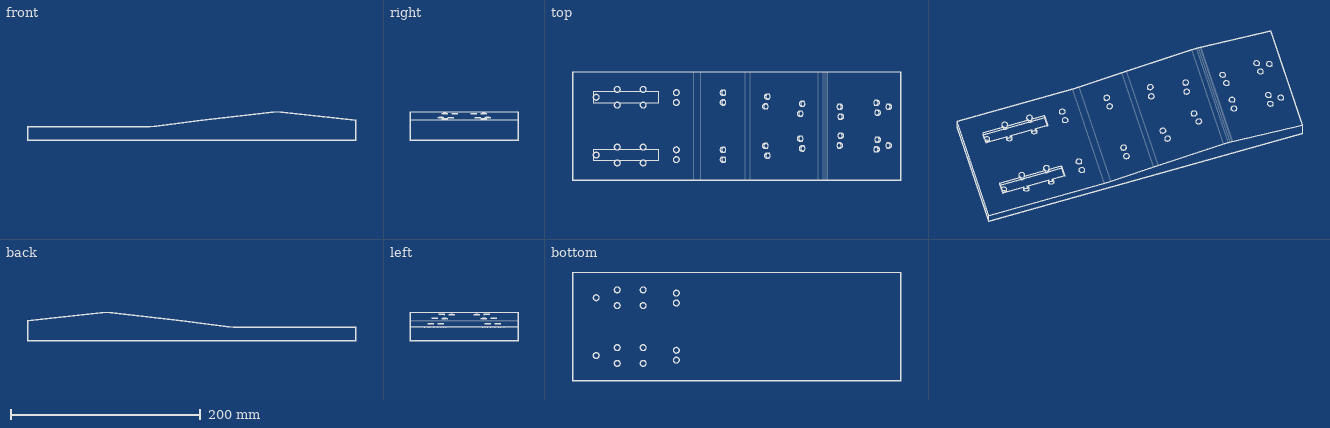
import cadquery as cq
import math

LENGTH = 346.5
WIDTH = 114.5
PEAK_HEIGHT = 30.0

FLAT_END = 127.5
RAMP_1_START, RAMP_1_END, RAMP_1_ANGLE = 134.8, 182.0, 7.4
RAMP_2_START, RAMP_2_END, RAMP_2_ANGLE = 187.0, 259.2, 6.5
PEAK_X = 264.5
CREST_MIDDLE = 266.5
CREST_END = 268.5
DESCENT_START = 269.3
DESCENT_ANGLE = -6.2

TOP_FACES = [
    (FLAT_END, 0),
    (RAMP_1_START, RAMP_1_ANGLE / 2),
    (RAMP_1_END, RAMP_1_ANGLE),
    (RAMP_2_START, (RAMP_1_ANGLE + RAMP_2_ANGLE) / 2),
    (RAMP_2_END, RAMP_2_ANGLE),
    (PEAK_X, RAMP_2_ANGLE / 4),
    (CREST_MIDDLE, DESCENT_ANGLE / 2),
    (CREST_END, DESCENT_ANGLE * 3 / 4),
    (DESCENT_START, DESCENT_ANGLE * 7 / 8),
    (LENGTH, DESCENT_ANGLE),
]

HOLE_DIAMETER = 6.0
BLIND_DEPTH = 14.0
TIP_ANGLE = 118
PAIR_ROW_Y = 30.0
PAIR_OFFSET = 5.2
FLAT_PAIR_X = 109.5
RAMP_1_PAIR_X = 158.7
RAMP_2_HOLES = [(205.5, 31.2), (203.5, 20.8), (242.3, 23.5), (240.2, 13.0)]
DESCENT_HOLES = [(282.0, 20.5), (283.0, 10.0), (321.0, 24.5), (322.0, 14.2)]
END_HOLE = (333.8, 20.5)

SLOT_ROW_Y = 30.5
SLOT_START = 22.2
SLOT_LENGTH = 68.3
SLOT_WIDTH = 11.8
SLOT_DEPTH = 5.5
SLOT_END_HOLE_X = 25.0
SLOT_EDGE_HOLE_XS = [47.0, 74.5]
SLOT_EDGE_HOLE_OFFSET = 8.3

CLEARANCE = 3.5


def top_profile():
    """Corner points of the top surface, set so that its crest is at PEAK_HEIGHT."""
    points = [(0, 0)]
    for face_end, angle in TOP_FACES:
        x, z = points[-1]
        points.append((face_end, z + (face_end - x) * math.tan(math.radians(angle))))
    lift = PEAK_HEIGHT - max(z for x, z in points)
    return [(x, z + lift) for x, z in points]


TOP_POINTS = top_profile()
FLAT_HEIGHT = TOP_POINTS[0][1]
THROUGH_DEPTH = FLAT_HEIGHT + CLEARANCE


def surface_at(hole_x):
    """Height and slope angle (radians) of the top surface at a place along X."""
    for (x0, z0), (x1, z1) in zip(TOP_POINTS, TOP_POINTS[1:]):
        if x0 <= hole_x <= x1:
            slope = (z1 - z0) / (x1 - x0)
            return z0 + slope * (hole_x - x0), math.atan(slope)


def make_plate():
    outline = [(0, 0)] + TOP_POINTS + [(LENGTH, 0)]
    return cq.Workplane("XZ").polyline(outline).close().extrude(WIDTH / 2, both=True)


def drill(x, y, depth, pointed=False):
    """Round cutter square to the top surface at (x, y); a pointed one ends in a drill tip."""
    z, slope = surface_at(x)
    axis = cq.Vector(math.sin(slope), 0, -math.cos(slope))
    mouth = cq.Vector(x, y, z)
    radius = HOLE_DIAMETER / 2
    cutter = cq.Solid.makeCylinder(radius, depth + CLEARANCE, mouth - axis * CLEARANCE, axis)
    if pointed:
        tip_length = radius / math.tan(math.radians(TIP_ANGLE / 2))
        cutter = cutter.fuse(cq.Solid.makeCone(radius, 0, tip_length, mouth + axis * depth, axis))
    return cutter


def slot_cutters(side):
    """The slot on one side of the centre line (side is +1 or -1) and its through holes."""
    row_y = side * SLOT_ROW_Y
    corner = cq.Vector(SLOT_START, row_y - SLOT_WIDTH / 2, FLAT_HEIGHT - SLOT_DEPTH)
    cutters = [
        cq.Solid.makeBox(SLOT_LENGTH, SLOT_WIDTH, SLOT_DEPTH + CLEARANCE, corner),
        drill(SLOT_END_HOLE_X, row_y, THROUGH_DEPTH),
    ]
    for direction in (-1, 1):
        for x in SLOT_EDGE_HOLE_XS:
            cutters.append(drill(x, row_y + direction * SLOT_EDGE_HOLE_OFFSET, THROUGH_DEPTH))
    return cutters


def hole_cutters(side):
    """The holes outside the slot on one side of the centre line (side is +1 or -1)."""
    end_x, end_y = END_HOLE
    cutters = [drill(end_x, side * end_y, BLIND_DEPTH, pointed=True)]
    for offset in (-PAIR_OFFSET, PAIR_OFFSET):
        pair_y = side * PAIR_ROW_Y + offset
        cutters.append(drill(FLAT_PAIR_X, pair_y, THROUGH_DEPTH))
        cutters.append(drill(RAMP_1_PAIR_X, pair_y, BLIND_DEPTH))
    for x, y in RAMP_2_HOLES + DESCENT_HOLES:
        cutters.append(drill(x, side * y, BLIND_DEPTH))
    return cutters


result = make_plate()
for side in (-1, 1):
    for cutter in slot_cutters(side) + hole_cutters(side):
        result = result.cut(cq.Workplane(cutter))